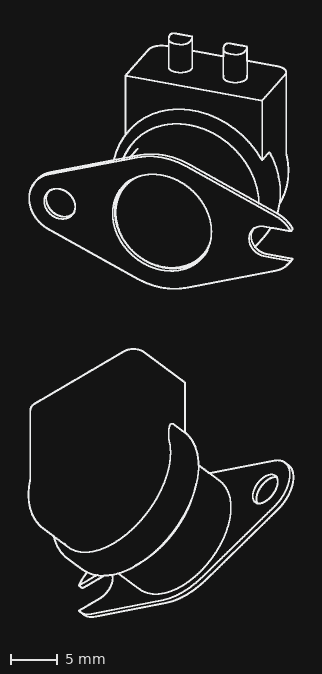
import cadquery as cq
import math


plate_thickness = 0.6
plate_waist_radius = 7.85
plate_end_radius = 3.55
mount_offset = 11.87
mount_hole_radius = 1.8
plate_bore_radius = 5.75

boss_radius = 5.58
boss_fillet = 0.58
barrel_radius = 7.25
barrel_fillet = 0.55
barrel_end = 7.22
barrel_root_fillet = 0.25
rim_radius = 8.05
rim_fillet = 0.3

collar_front = 7.92
collar_back = 11.78
collar_radius = 9.23
collar_fillet = 0.75
housing_back = 17.3
back_radius = 8.2
back_fillet = 1.52
block_width = 15.85
block_front = 9.1
block_top = 11.93

wire_radius = 1.27
wire_spacing = 6.35
wire_y = 13.17
wire_rear_height = 3.1
wire_crest_height = 3.6
wire_trough_height = 3.37
wire_front_height = 3.4
wire_crest_offset = 0.2
wire_trough_offset = -0.97


def disc(radius, y_front, y_back, x=0):
    """Cylinder along Y from y_front to y_back."""
    return (
        cq.Workplane("XZ", origin=(x, y_front, 0))
        .circle(radius)
        .extrude(y_front - y_back)
    )


def make_plate():
    """Lozenge plate with tangent sides, a bore, a mounting hole and an open slot."""
    tangent_sine = (plate_waist_radius - plate_end_radius) / mount_offset
    tangent_cosine = math.sqrt(1 - tangent_sine**2)
    waist_x = plate_waist_radius * tangent_sine
    waist_z = plate_waist_radius * tangent_cosine
    end_x = mount_offset + plate_end_radius * tangent_sine
    end_z = plate_end_radius * tangent_cosine
    tip_x = mount_offset + plate_end_radius

    plate = (
        cq.Workplane("XZ")
        .moveTo(-waist_x, waist_z)
        .threePointArc((0, plate_waist_radius), (waist_x, waist_z))
        .lineTo(end_x, end_z)
        .threePointArc((tip_x, 0), (end_x, -end_z))
        .lineTo(waist_x, -waist_z)
        .threePointArc((0, -plate_waist_radius), (-waist_x, -waist_z))
        .lineTo(-end_x, -end_z)
        .threePointArc((-tip_x, 0), (-end_x, end_z))
        .close()
        .extrude(-plate_thickness)
    )
    slot_opening = cq.Workplane("XY").box(
        plate_end_radius, plate_thickness, 2 * mount_hole_radius, centered=(False, False, True)
    ).translate((mount_offset, 0, 0))

    plate = plate.cut(disc(plate_bore_radius, 0, plate_thickness))
    for side in (-1, 1):
        plate = plate.cut(disc(mount_hole_radius, 0, plate_thickness, side * mount_offset))
    return plate.cut(slot_opening)


def make_cap():
    """Stepped cap: rounded boss, barrel and rim, revolved about the Y axis."""
    return (
        cq.Workplane("XY")
        .lineTo(boss_radius - boss_fillet, 0)
        .tangentArcPoint((boss_radius, boss_fillet), relative=False)
        .lineTo(boss_radius, plate_thickness)
        .lineTo(barrel_radius - barrel_fillet, plate_thickness)
        .tangentArcPoint((barrel_radius, plate_thickness + barrel_fillet), relative=False)
        .lineTo(barrel_radius, barrel_end - barrel_root_fillet)
        .tangentArcPoint((barrel_radius + barrel_root_fillet, barrel_end), relative=False)
        .lineTo(rim_radius - rim_fillet, barrel_end)
        .tangentArcPoint((rim_radius, barrel_end + rim_fillet), relative=False)
        .lineTo(rim_radius, collar_front)
        .lineTo(0, collar_front)
        .close()
        .revolve(360, (0, 0, 0), (0, 1, 0))
    )


def make_wire(x):
    """Wire stub with a wavy torn end, rising from the block."""
    blank = (
        cq.Workplane("XY", origin=(x, wire_y, block_top))
        .circle(wire_radius)
        .extrude(wire_crest_height + wire_radius)
    )
    profile = (
        cq.Workplane("YZ", origin=(x - wire_radius, wire_y, block_top))
        .moveTo(-wire_radius, 0)
        .lineTo(-wire_radius, wire_front_height)
        .spline(
            [
                (wire_trough_offset, wire_trough_height),
                (wire_crest_offset, wire_crest_height),
                (wire_radius, wire_rear_height),
            ],
            includeCurrent=True,
        )
        .lineTo(wire_radius, 0)
        .close()
        .extrude(2 * wire_radius)
    )
    return blank.intersect(profile)


def make_housing():
    """Collar, round back and wire block, with the two wires molded in."""
    collar = disc(collar_radius, collar_front, collar_back).edges().fillet(collar_fillet)
    back = disc(back_radius, collar_front, housing_back).faces(">Y").edges().fillet(back_fillet)
    block = (
        cq.Workplane("XY")
        .box(block_width, housing_back - block_front, block_top, centered=(True, False, False))
        .translate((0, block_front, 0))
        .edges("|Z and >Y")
        .fillet(back_fillet)
    )
    housing = collar.union(back).union(block)
    for side in (-1, 1):
        housing = housing.union(make_wire(side * wire_spacing / 2))
    return housing


plate = make_plate()
cap = make_cap()
housing = make_housing()
result = cq.Compound.makeCompound([*plate.solids().vals(), cap.val(), *housing.solids().vals()])